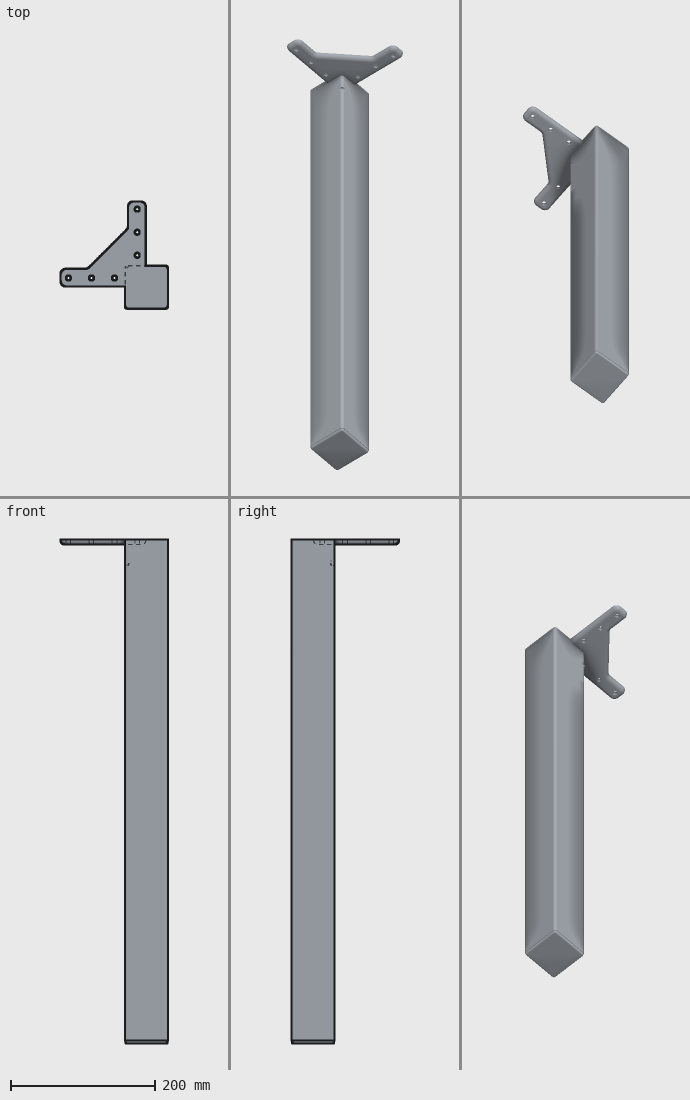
import cadquery as cq
import math

total_height = 700.0
overall_width = 149.35

leg_width = 60.0
leg_corner_radius = 4.0

foot_height = 4.0
foot_inset = 0.8
foot_edge_radius = 2.0

plate_thickness = 7.0
plate_edge_radius = 6.0
arm_width = 25.0
arm_offset = 0.75
arm_inner_edge = arm_offset + arm_width
arm_end_radius = 8.0
arm_tip = overall_width - leg_width / 2
web_start = 81.5
web_corner_radius = 8.0

screw_hole_diameter = 6.4
screw_hole_pitch = 32.0
screw_hole_count = 3
screw_hole_tip_distance = 11.0
screw_hole_offset = 12.8

bolt_hole_diameter = 7.5
bolt_hole_drop = 33.0
bolt_hole_depth = 4.5


def make_rounded_post(width, corner_radius, height):
    """Square post standing on Z = 0 with rounded vertical corners."""
    post = cq.Workplane("XY").rect(width, width).extrude(height)
    return post.edges("|Z").fillet(corner_radius)


def make_leg():
    """Square leg resting on its foot cap."""
    post = make_rounded_post(leg_width, leg_corner_radius, total_height - foot_height)
    post = post.translate((0, 0, foot_height))
    foot_width = leg_width - 2 * foot_inset
    foot = make_rounded_post(foot_width, leg_corner_radius - foot_inset, foot_height)
    foot = foot.faces("<Z").edges().fillet(foot_edge_radius)
    return post.union(foot)


def make_plate():
    """Two-armed plate, mirrored about the diagonal, with a rounded lower rim."""
    outline = [
        (-arm_offset, arm_offset),
        (-arm_offset, arm_tip),
        (-arm_inner_edge, arm_tip),
        (-arm_inner_edge, web_start),
        (-web_start, arm_inner_edge),
        (-arm_tip, arm_inner_edge),
        (-arm_tip, arm_offset),
    ]
    plate = (
        cq.Workplane("XY", origin=(0, 0, total_height - plate_thickness))
        .polyline(outline)
        .close()
        .extrude(plate_thickness)
    )
    plate = plate.faces("<X or >Y").edges("|Z").fillet(arm_end_radius)
    mid_height = total_height - plate_thickness / 2
    for corner in [(-web_start, arm_inner_edge), (-arm_inner_edge, web_start)]:
        web_edge = plate.edges(cq.selectors.NearestToPointSelector((*corner, mid_height)))
        plate = web_edge.fillet(web_corner_radius)
    return plate.faces("<Z").edges().fillet(plate_edge_radius)


def screw_hole_centres():
    """Hole centres on both arms, counted from the tips inwards."""
    centres = []
    for index in range(screw_hole_count):
        along = arm_tip - screw_hole_tip_distance - index * screw_hole_pitch
        centres.append((-along, screw_hole_offset))
        centres.append((-screw_hole_offset, along))
    return centres


def make_screw_holes():
    """Cylinders that pass through the plate."""
    return (
        cq.Workplane("XY", origin=(0, 0, total_height - plate_thickness))
        .pushPoints(screw_hole_centres())
        .circle(screw_hole_diameter / 2)
        .extrude(plate_thickness)
    )


def make_bolt_hole():
    """Blind horizontal cylinder entering the leg corner along its diagonal."""
    half_diagonal = leg_width / math.sqrt(2)
    bottom_offset = (half_diagonal - bolt_hole_depth) / math.sqrt(2)
    return cq.Workplane(cq.Solid.makeCylinder(
        bolt_hole_diameter / 2,
        bolt_hole_depth,
        cq.Vector(-bottom_offset, bottom_offset, total_height - bolt_hole_drop),
        cq.Vector(-1, 1, 0),
    ))


result = (
    make_leg()
    .union(make_plate())
    .cut(make_screw_holes())
    .cut(make_bolt_hole())
)